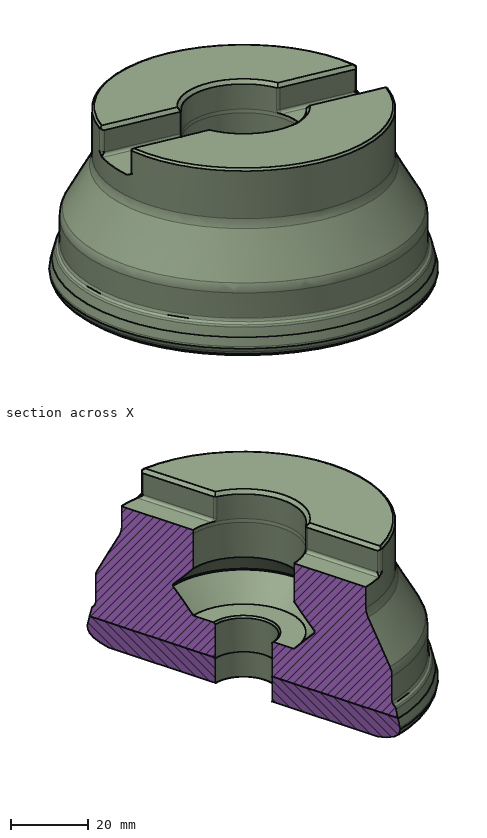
import cadquery as cq
import math

total_height = 50.0
split_z = 7.2

hub_radius = 39.0
hub_rim_chamfer = 0.6
collar_radius = 94.6 / 2
collar_cone_top_z = 34.7
collar_cone_angle = 30.0
cone_blend_radius = 5.0

skirt_angle = 15.0
shoulder_angle = 45.0
skirt_top_z = 10.1
shoulder_blend_radius = 1.2

max_radius = 50.0
nose_corners = [(max_radius, 4.3), (49.8, 3.4), (49.3, 2.5), (48.0, 1.5), (45.6, 0.6), (43.0, 0.0)]
skirt_foot_radius, skirt_foot_z = 49.9, 4.9

bore_radius = 16.0
bore_entry_radius = 32.2 / 2
bore_entry_taper_height = 1.0
bore_groove_radius = 45.1 / 2
bore_groove_top_z = 30.9
bore_groove_wall_height = 0.4
screw_hole_radius = 9.0
screw_hole_chamfer = 0.5

slot_width = 14.4
slot_depth = 8.0
slot_rim_chamfer = 1.0
slot_fillet = 0.9

slot_floor_z = total_height - slot_depth
gap = 0.01


def run_for(rise, angle):
    """Radial run of a cone over a rise, for an angle taken from the axis."""
    return rise * math.tan(math.radians(angle))


def skirt_radius(z):
    return skirt_foot_radius - run_for(z - skirt_foot_z, skirt_angle)


def revolve_profile(profile):
    return profile.close().revolve(360, (0, 0, 0), (0, 1, 0))


def ring_edge(radius, z):
    """Selects the horizontal circular edge of this radius and height."""
    outer = cq.selectors.BoxSelector(
        (-radius - gap, -radius - gap, z - gap), (radius + gap, radius + gap, z + gap), boundingbox=True)
    inner_size = radius - gap
    inner = cq.selectors.BoxSelector(
        (-inner_size, -inner_size, z - gap), (inner_size, inner_size, z + gap), boundingbox=True)
    return outer - inner


def make_body_blank():
    skirt_top_radius = skirt_radius(skirt_top_z)
    cone_bottom_z = collar_cone_top_z - (collar_radius - hub_radius) / run_for(1, collar_cone_angle)
    shoulder_z = skirt_top_z + (skirt_top_radius - collar_radius) / run_for(1, shoulder_angle)
    blank = revolve_profile(
        cq.Workplane("XZ")
        .moveTo(0, split_z)
        .lineTo(skirt_radius(split_z), split_z)
        .lineTo(skirt_top_radius, skirt_top_z)
        .lineTo(collar_radius, shoulder_z)
        .lineTo(collar_radius, cone_bottom_z)
        .lineTo(hub_radius, collar_cone_top_z)
        .lineTo(hub_radius, total_height)
        .lineTo(0, total_height)
    )
    blank = blank.edges(ring_edge(collar_radius, cone_bottom_z)).fillet(cone_blend_radius)
    blank = blank.edges(ring_edge(hub_radius, collar_cone_top_z)).fillet(cone_blend_radius)
    blank = blank.edges(ring_edge(collar_radius, shoulder_z)).fillet(shoulder_blend_radius)
    return blank.edges(ring_edge(skirt_top_radius, skirt_top_z)).fillet(shoulder_blend_radius)


def make_bore():
    groove_depth = bore_groove_radius - bore_radius
    groove_wall_top_z = bore_groove_top_z - groove_depth
    groove_wall_bottom_z = groove_wall_top_z - bore_groove_wall_height
    floor_z = groove_wall_bottom_z - groove_depth
    return revolve_profile(
        cq.Workplane("XZ")
        .moveTo(0, split_z)
        .lineTo(screw_hole_radius, split_z)
        .lineTo(screw_hole_radius, floor_z - screw_hole_chamfer)
        .lineTo(screw_hole_radius + screw_hole_chamfer, floor_z)
        .lineTo(bore_radius, floor_z)
        .lineTo(bore_groove_radius, groove_wall_bottom_z)
        .lineTo(bore_groove_radius, groove_wall_top_z)
        .lineTo(bore_radius, bore_groove_top_z)
        .lineTo(bore_radius, slot_floor_z - bore_entry_taper_height)
        .lineTo(bore_entry_radius, slot_floor_z)
        .lineTo(bore_entry_radius, total_height)
        .lineTo(0, total_height)
    )


def make_slot():
    slot = cq.Workplane("XY").box(slot_width, 2 * max_radius, slot_depth, centered=(True, True, False))
    return slot.translate((0, 0, slot_floor_z))


def is_hub_rim(edge):
    return edge.geomType() == "CIRCLE" and edge.radius() > hub_radius / 2


def is_slot_or_bore_rim(edge):
    return not is_hub_rim(edge)


def slot_zone(bottom_z, top_z):
    """Selects what is centred in and just beside the slot, between two heights."""
    return cq.selectors.BoxSelector(
        (-slot_width, -max_radius, bottom_z), (slot_width, max_radius, top_z))


def make_tool_body():
    body = make_body_blank().cut(make_bore()).cut(make_slot())
    body = body.faces(">Z").edges().filter(is_hub_rim).chamfer(hub_rim_chamfer)
    body = body.faces(">Z").edges().filter(is_slot_or_bore_rim).chamfer(slot_rim_chamfer)
    upright_corners = body.edges("|Z").edges(slot_zone(slot_floor_z, total_height))
    floor_corners = body.edges("|Y").edges(slot_zone(slot_floor_z - gap, slot_floor_z + gap))
    return upright_corners.add(floor_corners).fillet(slot_fillet)


def make_cutting_ring():
    profile = cq.Workplane("XZ").moveTo(screw_hole_radius, split_z).lineTo(skirt_radius(split_z), split_z)
    profile = profile.lineTo(skirt_foot_radius, skirt_foot_z)
    for radius, z in nose_corners:
        profile = profile.lineTo(radius, z)
    return revolve_profile(profile.lineTo(screw_hole_radius, 0))


tool_body = make_tool_body()
cutting_ring = make_cutting_ring()
result = cq.Compound.makeCompound([tool_body.val(), cutting_ring.val()])